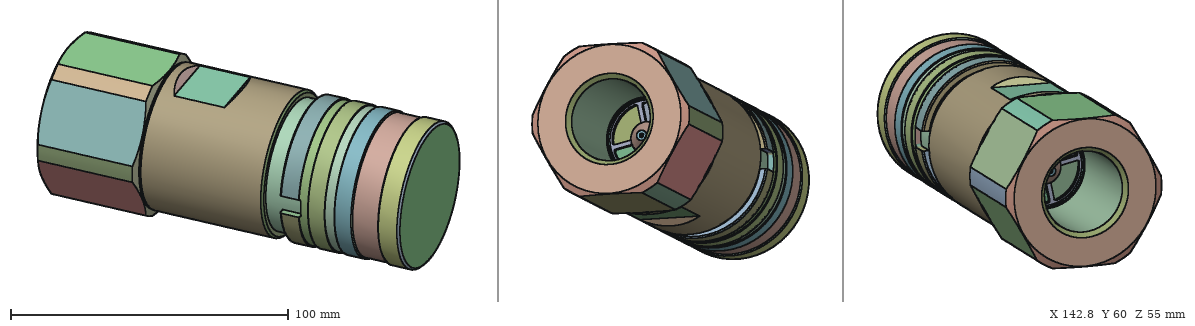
import cadquery as cq
import math

total_length = 142.8

across_flats = 55.0
corner_diameter = 60.0
hex_end = 40.1
hex_face_radius = 27.3
hex_chamfer_length = 1.4

outer_radius = across_flats / 2
body_end = 89.1
body_chamfer = 0.9
neck_radius = 24.9
sleeve_start = 95.7
sleeve_chamfer = 0.5
end_chamfer = 0.9

sleeve_bands = [
    (103.1, 106.9, 0.4, 0.0),
    (113.4, 117.3, 0.4, 0.0),
    (123.9, 134.7, 0.5, 0.4),
]

notch_width = 7.3
notch_end = 103.9
notch_corner_radius = 0.9

flat_height = 25.0
flat_start = 47.0
flat_end = 66.9

bore_radius = 15.0
bore_chamfer = 1.7
bore_depth = 42.9
seat_radius = 14.4
seat_floor_radius = 13.1
seat_depth = 2.1

cone_radius = 6.0
cone_tip_radius = 1.9
cone_height = 7.1
tip_hole_radius = 0.7
tip_hole_depth = 1.4
rib_count = 4
rib_width = 1.7
rib_height = 1.4
rib_tilt = -12.2
rib_root_fillet = 0.9


def revolve_profile(points):
    """Turn a closed (x, radius) outline about the X axis."""
    outline = cq.Workplane("XY").polyline(points).close()
    return outline.revolve(360, (0, 0, 0), (1, 0, 0))


def hexagonal_end():
    corner_radius = corner_diameter / 2
    across_corners = across_flats / math.cos(math.radians(30))
    prism = cq.Workplane("YZ").polygon(6, across_corners).extrude(hex_end)
    envelope = revolve_profile([
        (0, 0),
        (0, hex_face_radius),
        (hex_chamfer_length, corner_radius),
        (hex_end - hex_chamfer_length, corner_radius),
        (hex_end, hex_face_radius),
        (hex_end, 0),
    ])
    return prism.intersect(envelope)


def turned_body():
    return revolve_profile([
        (hex_end, 0),
        (hex_end, outer_radius - body_chamfer),
        (hex_end + body_chamfer, outer_radius),
        (body_end - body_chamfer, outer_radius),
        (body_end, outer_radius - body_chamfer),
        (body_end, neck_radius),
        (sleeve_start, neck_radius),
        (sleeve_start, outer_radius - sleeve_chamfer),
        (sleeve_start + sleeve_chamfer, outer_radius),
        (total_length - end_chamfer, outer_radius),
        (total_length, outer_radius - end_chamfer),
        (total_length, 0),
    ])


def sleeve_band(start, end, depth, chamfer):
    floor_radius = outer_radius - depth
    clear_radius = corner_diameter / 2
    return revolve_profile([
        (start, clear_radius),
        (start, outer_radius),
        (start + chamfer, floor_radius),
        (end - chamfer, floor_radius),
        (end, outer_radius),
        (end, clear_radius),
    ])


def sleeve_notches():
    length = notch_end - sleeve_start
    slot = (
        cq.Workplane("XY")
        .box(length, corner_diameter, notch_width, centered=(False, True, True))
        .translate((sleeve_start, 0, 0))
        .edges("|Y and >X")
        .fillet(notch_corner_radius)
    )
    neck = cq.Workplane("YZ").circle(neck_radius).extrude(total_length)
    return slot.cut(neck)


def wrench_flat():
    """Trapezoidal cutter above the +Z flat, with 45 degree end walls."""
    cutter_top = corner_diameter / 2
    flare = cutter_top - flat_height
    return (
        cq.Workplane("XZ")
        .polyline([
            (flat_start, flat_height),
            (flat_end, flat_height),
            (flat_end + flare, cutter_top),
            (flat_start - flare, cutter_top),
        ])
        .close()
        .extrude(outer_radius, both=True)
    )


def bore():
    seat_start = bore_depth - seat_depth
    return revolve_profile([
        (0, 0),
        (0, bore_radius + bore_chamfer),
        (bore_chamfer, bore_radius),
        (seat_start, bore_radius),
        (seat_start, seat_radius),
        (bore_depth, seat_floor_radius),
        (bore_depth, 0),
    ])


def floor_cone():
    tip = bore_depth - cone_height
    return revolve_profile([
        (bore_depth, 0),
        (bore_depth, cone_radius),
        (bore_depth - rib_height, cone_radius),
        (tip, cone_tip_radius),
        (tip, tip_hole_radius),
        (tip + tip_hole_depth, tip_hole_radius),
        (tip + tip_hole_depth, 0),
    ])


def floor_ribs():
    """Ribs from the cone to the bore wall, left after cutting rounded windows from a disc."""
    ribs = cq.Workplane("YZ").circle(seat_radius).extrude(rib_height)
    window = (
        cq.Workplane("YZ")
        .circle(seat_floor_radius)
        .extrude(rib_height)
        .intersect(
            cq.Workplane("YZ")
            .center(rib_width / 2, rib_width / 2)
            .rect(seat_radius, seat_radius, centered=False)
            .extrude(rib_height)
        )
    )
    inner_corner = cq.selectors.NearestToPointSelector((rib_height / 2, 0, 0))
    outer_corners = cq.selectors.StringSyntaxSelector("|X") - inner_corner
    window = window.edges(outer_corners).fillet(rib_root_fillet)
    for index in range(rib_count):
        angle = rib_tilt + index * 360 / rib_count
        ribs = ribs.cut(window.rotate((0, 0, 0), (1, 0, 0), angle))
    return ribs.translate((bore_depth - rib_height, 0, 0))


result = hexagonal_end().union(turned_body())
for band in sleeve_bands:
    result = result.cut(sleeve_band(*band))
result = result.cut(sleeve_notches())
for turn in (0, 180):
    result = result.cut(wrench_flat().rotate((0, 0, 0), (1, 0, 0), turn))
result = result.cut(bore()).union(floor_ribs()).union(floor_cone())